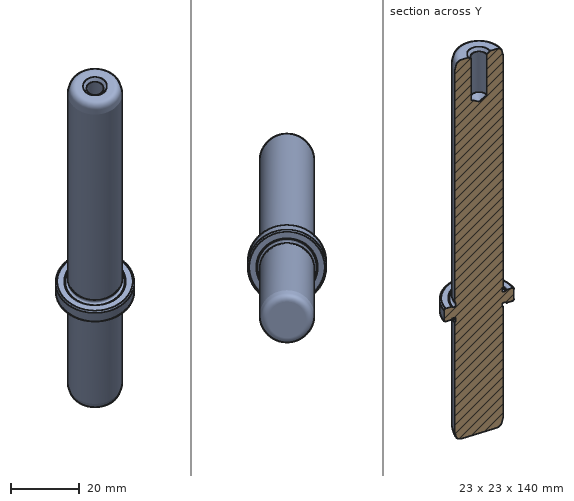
import cadquery as cq
import math

length = 140.0
shaft_radius = 8.0

collar_radius = 11.5
collar_bottom = 45.0
collar_top = 50.0
collar_chamfer = 0.5

nose_radius = 2.0
lead_length = 3.3
lead_angle = math.radians(13.0)

relief_depth = 0.4
relief_width = 1.2
relief_slope_length = 0.5
face_relief_slope_length = 0.4
relief_corner_radius = 0.5
face_relief_radius = 9.0
face_relief_depth = 0.4

hole_radius = 2.5
hole_depth = 16.0
hole_tip_half_angle = math.radians(59.0)
countersink_radius = 3.5
countersink_half_angle = math.radians(45.0)
countersink_depth = (countersink_radius - hole_radius) / math.tan(countersink_half_angle)


nose_height = nose_radius * (1 - math.sin(lead_angle))
nose_end_radius = shaft_radius - (lead_length - nose_height) * math.tan(lead_angle)
nose_centre_radius = nose_end_radius - nose_radius * math.cos(lead_angle)
nose_mid_angle = (math.pi / 2 + lead_angle) / 2
nose_mid = (
    nose_centre_radius + nose_radius * math.cos(nose_mid_angle),
    nose_radius * (1 - math.sin(nose_mid_angle)),
)


def revolve_about_axis(profile):
    """Turn a closed (radius, height) half profile into a solid around the Z axis."""
    return profile.revolve(360, (0, 0, 0), (0, 1, 0))


def make_shaft_body():
    """Plain shaft with rounded, tapered ends."""
    profile = (
        cq.Workplane("XZ")
        .lineTo(nose_centre_radius, 0)
        .threePointArc(nose_mid, (nose_end_radius, nose_height))
        .lineTo(shaft_radius, lead_length)
        .lineTo(shaft_radius, length - lead_length)
        .lineTo(nose_end_radius, length - nose_height)
        .threePointArc((nose_mid[0], length - nose_mid[1]), (nose_centre_radius, length))
        .lineTo(0, length)
        .close()
    )
    return revolve_about_axis(profile)


def make_collar():
    """Collar disc with both rims chamfered."""
    disc = cq.Workplane("XY").workplane(offset=collar_bottom).circle(collar_radius)
    return disc.extrude(collar_top - collar_bottom).edges().chamfer(collar_chamfer)


def make_relief(face_height, outward):
    """Ring that undercuts both the shaft and the collar face at face_height.

    outward is +1 where the face looks up and -1 where it looks down.
    """
    floor_radius = shaft_radius - relief_depth
    floor_height = face_height - outward * face_relief_depth
    shaft_end = face_height + outward * relief_width
    corner_offset = relief_corner_radius * (1 - math.sqrt(0.5))
    profile = (
        cq.Workplane("XZ")
        .moveTo(shaft_radius, shaft_end)
        .lineTo(floor_radius, shaft_end - outward * relief_slope_length)
        .lineTo(floor_radius, floor_height + outward * relief_corner_radius)
        .threePointArc(
            (floor_radius + corner_offset, floor_height + outward * corner_offset),
            (floor_radius + relief_corner_radius, floor_height),
        )
        .lineTo(face_relief_radius - face_relief_slope_length, floor_height)
        .lineTo(face_relief_radius, face_height)
        .lineTo(face_relief_radius, shaft_end)
        .close()
    )
    return revolve_about_axis(profile)


def make_centre_hole():
    """Countersunk blind hole with a conical drill tip, opening at the top end."""
    hole_bottom = length - hole_depth
    tip_height = hole_radius / math.tan(hole_tip_half_angle)
    profile = (
        cq.Workplane("XZ")
        .moveTo(0, length)
        .lineTo(countersink_radius, length)
        .lineTo(hole_radius, length - countersink_depth)
        .lineTo(hole_radius, hole_bottom)
        .lineTo(0, hole_bottom - tip_height)
        .close()
    )
    return revolve_about_axis(profile)


result = make_shaft_body().union(make_collar())
for face_height, outward in ((collar_top, 1), (collar_bottom, -1)):
    result = result.cut(make_relief(face_height, outward))
result = result.cut(make_centre_hole())